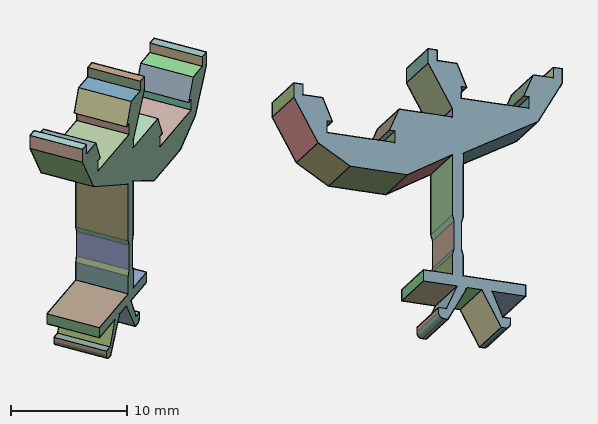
import cadquery as cq
import math

depth = 5.0
height = 24.8

cradle_half_width = 6.22
upper_cradle_y = -3.45
upper_cradle_z = height
cradle_shift_y = 2 * cradle_half_width
cradle_drop = 5.03
lower_cradle_y = upper_cradle_y + cradle_shift_y
lower_cradle_z = upper_cradle_z - cradle_drop
tip_width = 0.85
shelf_drop = 0.97
lip_top_half_gap = 3.54
lip_half_gap = 2.65
lip_drop = 3.06
seat_half_width = 3.14
seat_drop = 4.13
flank_top_drop = 1.35
flank_inset = 2.25
flank_bottom_drop = 5.23

base_drop = 6.95
base_inset = 5.23
base_inner_y = 4.68
underside_left_z = 15.31
underside_right_z = 15.6

stem_width = 1.02
stem_half_width = stem_width / 2
neck_half_width = 0.35
neck_taper = 0.55
neck_bottom_z = 6.1
neck_top_z = 9.74

plate_center_y = -1.55
plate_width = 9.49
plate_bottom_z = 3.2
plate_thickness = 1.05
plate_top_z = plate_bottom_z + plate_thickness
leg_root_inner = 0.67
leg_root_outer = 1.62
leg_heel = 2.61
leg_toe = 3.34
leg_bottom_inner = 2.47
toe_top_z = 0.97
toe_radius = 0.5


def extrude_outline(points):
    """Extrude a closed (Y, Z) outline along X, centred on X = 0."""
    return cq.Workplane("YZ").polyline(points).close().extrude(depth / 2, both=True)


def cradle_side(center_y, tip_z, side):
    """Points of one cradle wall, from the flank top over the tip to the seat corner."""
    offsets = [
        (cradle_half_width, flank_top_drop),
        (cradle_half_width, 0),
        (cradle_half_width - tip_width, 0),
        (cradle_half_width - tip_width, shelf_drop),
        (lip_top_half_gap, shelf_drop),
        (lip_half_gap, lip_drop),
        (seat_half_width, lip_drop),
        (seat_half_width, seat_drop),
    ]
    return [(center_y + side * y, tip_z - drop) for y, drop in offsets]


def cradle_body():
    lower_outer_y = lower_cradle_y + cradle_half_width
    upper_outer_y = upper_cradle_y - cradle_half_width
    lower_base_z = lower_cradle_z - base_drop
    lower_shelf_z = lower_cradle_z - shelf_drop
    upper_flank_z = upper_cradle_z - flank_bottom_drop

    inner_wall = cradle_side(lower_cradle_y, lower_cradle_z, -1)[4:]
    outline = [
        (base_inner_y, lower_base_z),
        (lower_outer_y - base_inset, lower_base_z),
        (lower_outer_y - flank_inset, lower_cradle_z - flank_bottom_drop),
        *cradle_side(lower_cradle_y, lower_cradle_z, 1),
        *reversed(inner_wall),
        (stem_half_width, lower_shelf_z),
        (stem_half_width, upper_flank_z),
        *cradle_side(upper_cradle_y, upper_cradle_z, 1),
        *reversed(cradle_side(upper_cradle_y, upper_cradle_z, -1)),
        (upper_outer_y + flank_inset, upper_flank_z),
        (-stem_half_width, underside_right_z),
        (stem_half_width, underside_left_z),
    ]
    return extrude_outline(outline)


def stem():
    half_outline = [
        (stem_half_width, plate_bottom_z),
        (stem_half_width, neck_bottom_z),
        (neck_half_width, neck_bottom_z + neck_taper),
        (neck_half_width, neck_top_z - neck_taper),
        (stem_half_width, neck_top_z),
        (stem_half_width, underside_right_z),
    ]
    mirrored = [(-y, z) for y, z in reversed(half_outline)]
    return extrude_outline(half_outline + mirrored)


def foot_plate():
    plate_center_z = plate_bottom_z + plate_thickness / 2
    plate = cq.Workplane("XY").box(depth, plate_width, plate_thickness)
    return plate.translate((0, plate_center_y, plate_center_z))


def clip_leg(side):
    """One leg, rooted in the plate, with a toe rounded at its lower outer corner."""

    def at(offset, z):
        return (plate_center_y + side * offset, z)

    arc_inset = toe_radius * (1 - math.sqrt(0.5))
    return (
        cq.Workplane("YZ")
        .moveTo(*at(leg_root_inner, plate_bottom_z))
        .lineTo(*at(leg_root_inner, plate_top_z))
        .lineTo(*at(leg_root_outer, plate_top_z))
        .lineTo(*at(leg_root_outer, plate_bottom_z))
        .lineTo(*at(leg_heel, toe_top_z))
        .lineTo(*at(leg_toe, toe_top_z))
        .lineTo(*at(leg_toe, toe_radius))
        .threePointArc(at(leg_toe - arc_inset, arc_inset), at(leg_toe - toe_radius, 0))
        .lineTo(*at(leg_bottom_inner, 0))
        .close()
        .extrude(depth / 2, both=True)
    )


result = cradle_body().union(stem()).union(foot_plate())
for leg_side in (1, -1):
    result = result.union(clip_leg(leg_side))